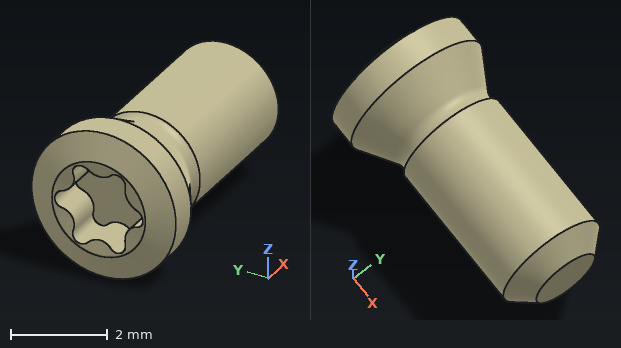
import cadquery as cq
import math

LENGTH = 6.0

HEAD_RADIUS = 1.701
FACE_RADIUS = 1.1
FACE_ANGLE = 20.0
RIM_END = 0.89
SEAT_ANGLE = 30.0

SHANK_RADIUS = 1.255
NECK_RADIUS = 1.17
GROOVE_ARC = 0.3
TIP_RADIUS = 0.76
TIP_CHAMFER_LENGTH = 0.48

LOBES = 6
SOCKET_DEPTH = 0.9
LOBE_TIP_RADIUS = 1.035
VALLEY_RADIUS = 0.75
LOBE_ARC = 0.205
LEAD_IN_RADIUS = 1.055
LEAD_IN_ANGLE = 10.0


def revolve_about_x(profile):
    return profile.close().revolve(360, (0, 0, 0), (1, 0, 0))


def make_body():
    seat = math.radians(SEAT_ANGLE)
    rim_start = (HEAD_RADIUS - FACE_RADIUS) * math.tan(math.radians(FACE_ANGLE))

    groove_start_radius = NECK_RADIUS + GROOVE_ARC * (1 - math.cos(seat))
    groove_start = RIM_END + (HEAD_RADIUS - groove_start_radius) / math.tan(seat)
    groove_bottom = groove_start + GROOVE_ARC * math.sin(seat)
    center_radius = NECK_RADIUS + GROOVE_ARC
    groove_end = groove_bottom + math.sqrt(GROOVE_ARC**2 - (center_radius - SHANK_RADIUS) ** 2)

    profile = (
        cq.Workplane("XY")
        .moveTo(0, 0)
        .lineTo(0, FACE_RADIUS)
        .lineTo(rim_start, HEAD_RADIUS)
        .lineTo(RIM_END, HEAD_RADIUS)
        .lineTo(groove_start, groove_start_radius)
        .threePointArc((groove_bottom, NECK_RADIUS), (groove_end, SHANK_RADIUS))
        .lineTo(LENGTH - TIP_CHAMFER_LENGTH, SHANK_RADIUS)
        .lineTo(LENGTH, TIP_RADIUS)
        .lineTo(LENGTH, 0)
    )
    return revolve_about_x(profile)


def polar(radius, angle):
    return (radius * math.cos(angle), radius * math.sin(angle))


def make_socket():
    half_pitch = math.pi / LOBES
    lobe_center_radius = LOBE_TIP_RADIUS - LOBE_ARC

    projection = lobe_center_radius * math.cos(half_pitch)
    valley_arc = (
        VALLEY_RADIUS**2 + lobe_center_radius**2 - 2 * projection * VALLEY_RADIUS - LOBE_ARC**2
    ) / (2 * (LOBE_ARC + projection - VALLEY_RADIUS))

    lobe_share = LOBE_ARC / (LOBE_ARC + valley_arc)
    valley_center = polar(VALLEY_RADIUS + valley_arc, half_pitch)
    tangent_x = lobe_center_radius + lobe_share * (valley_center[0] - lobe_center_radius)
    tangent_y = lobe_share * valley_center[1]
    tangent_radius = math.hypot(tangent_x, tangent_y)
    tangent_angle = math.atan2(tangent_y, tangent_x)

    outline = cq.Workplane("YZ").moveTo(*polar(tangent_radius, -tangent_angle))
    for lobe in range(LOBES):
        angle = 2 * half_pitch * lobe
        next_angle = angle + 2 * half_pitch
        outline = outline.threePointArc(
            polar(LOBE_TIP_RADIUS, angle), polar(tangent_radius, angle + tangent_angle)
        ).threePointArc(
            polar(VALLEY_RADIUS, angle + half_pitch), polar(tangent_radius, next_angle - tangent_angle)
        )
    return outline.close().extrude(SOCKET_DEPTH)


def make_lead_in():
    cone_depth = LEAD_IN_RADIUS * math.tan(math.radians(LEAD_IN_ANGLE))
    profile = cq.Workplane("XY").moveTo(0, 0).lineTo(0, LEAD_IN_RADIUS).lineTo(cone_depth, 0)
    return revolve_about_x(profile)


result = make_body().cut(make_socket()).cut(make_lead_in())